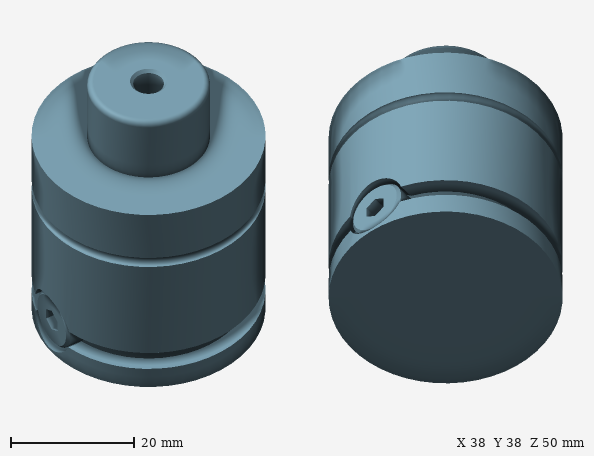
import cadquery as cq
import math

total_height = 50
body_height = 38
body_radius = 19
rod_radius = 10
rod_fillet = 1

round_groove_z = 27.5
round_groove_radius = 1

square_groove_bottom = 4
square_groove_top = 7.5
square_groove_floor_radius = 16.5

hole_diameter = 5
hole_depth = 12
hole_mouth_diameter = 6
drill_point_angle = 118

plug_z = 6
pocket_diameter = 11
pocket_floor_y = -14
plug_diameter = 10
plug_face_y = -18.35
plug_chamfer = 0.5
hex_across_flats = 3.5
hex_depth = 3


def make_body():
    body = cq.Workplane("XY").circle(body_radius).extrude(body_height)
    rod = cq.Workplane("XY").circle(rod_radius).extrude(total_height)
    rod = rod.faces(">Z").edges().fillet(rod_fillet)
    return body.union(rod)


def make_round_groove():
    ring = cq.Solid.makeTorus(body_radius, round_groove_radius, cq.Vector(0, 0, round_groove_z))
    return cq.Workplane(obj=ring)


def make_square_groove():
    return (
        cq.Workplane("XY", origin=(0, 0, square_groove_bottom))
        .circle(body_radius + 0.5)
        .circle(square_groove_floor_radius)
        .extrude(square_groove_top - square_groove_bottom)
    )


def make_rod_hole():
    """Chamfered blind hole with a conical drill point, revolved about Z."""
    radius = hole_diameter / 2
    mouth_radius = hole_mouth_diameter / 2
    floor_z = total_height - hole_depth
    tip_z = floor_z - radius / math.tan(math.radians(drill_point_angle / 2))
    return (
        cq.Workplane("XZ")
        .moveTo(0, total_height)
        .lineTo(mouth_radius, total_height)
        .lineTo(radius, total_height - (mouth_radius - radius))
        .lineTo(radius, floor_z)
        .lineTo(0, tip_z)
        .close()
        .revolve(360, (0, 0, 0), (0, 1, 0))
    )


def plug_plane(y):
    """Plane at the given Y on the plug axis, with its normal toward -Y."""
    return cq.Workplane("XZ", origin=(0, y, plug_z))


def make_plug_pocket():
    return plug_plane(pocket_floor_y).circle(pocket_diameter / 2).extrude(body_radius + pocket_floor_y)


def make_plug():
    plug = plug_plane(pocket_floor_y).circle(plug_diameter / 2).extrude(pocket_floor_y - plug_face_y)
    plug = plug.faces("<Y").edges().chamfer(plug_chamfer)
    across_corners = hex_across_flats / math.cos(math.pi / 6)
    socket_plane = plug_plane(plug_face_y).transformed(rotate=(0, 0, 90))
    socket = socket_plane.polygon(6, across_corners).extrude(-hex_depth)
    return plug.cut(socket)


body = make_body().cut(make_round_groove()).cut(make_square_groove()).cut(make_rod_hole())
result = body.cut(make_plug_pocket()).union(make_plug())